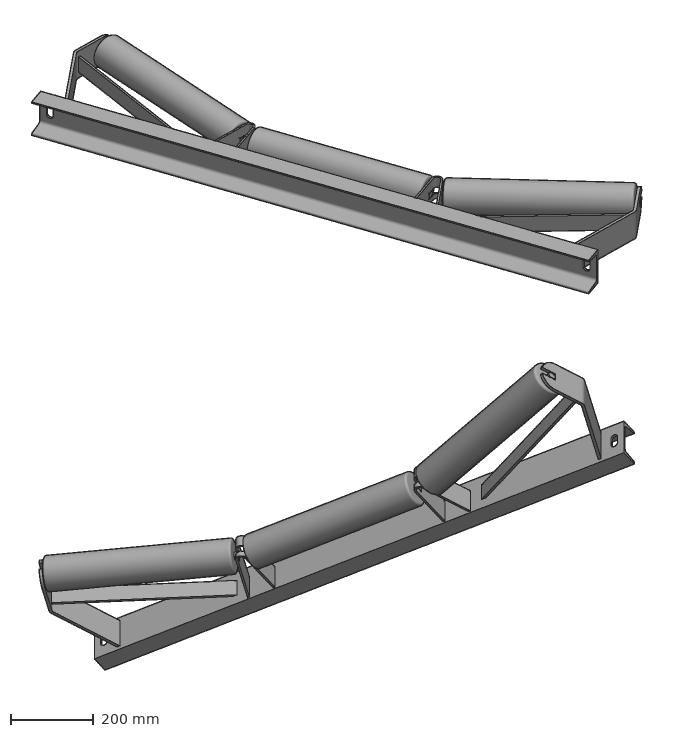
import cadquery as cq
import math

channel_length = 1500.0
channel_height = 100.0
channel_depth = 50.0
web_thickness = 6.0
flange_tip_thickness = 6.0
flange_root_thickness = 10.0
flange_root_fillet = 8.0
flange_tip_fillet = 5.0

slot_width = 18.0
slot_length = 36.0
slot_end_distance = 27.0

trough_angle = 20.0
trough = math.radians(trough_angle)

roller_radius = 44.6
roller_length = 465.0
roller_edge_fillet = 6.0
roller_end_gap = 5.3
shaft_radius = 9.8
shaft_flat_width = 15.0
shaft_notch_width = 18.0
middle_axis_y = 168.0
middle_axis_z = 29.0
wing_center_y = 255.0
wing_outer_z = channel_height / 2

inner_thickness = 5.0
inner_width = 64.0
inner_bottom_z = 5.0
inner_bend_radius = 12.0
inner_top_y = 195.0
leg_distance = roller_length / 2 + roller_end_gap + inner_thickness / 2
inner_bend_x = -leg_distance - inner_bend_radius
inner_bend_y = inner_top_y - inner_bend_radius - inner_thickness / 2

outer_thickness = 8.0
outer_width = 80.0
outer_half_span = 756.0
outer_bend_radius = 15.0
outer_bend_x = -outer_half_span + outer_bend_radius + outer_thickness / 2
outer_bend_y = 246.0
outer_end_distance = 32.0

brace_thickness = 6.0
brace_width = 45.0
brace_foot_x = -346.0
brace_head_y = 262.0

along_x, along_y = math.cos(trough), -math.sin(trough)
sloping_leg_offset = inner_bend_x * along_x + inner_bend_y * along_y - inner_bend_radius
wing_center_x = (sloping_leg_offset - leg_distance - wing_center_y * along_y) / along_x
wing_center_z = (wing_outer_z + middle_axis_z) / 2
shaft_length = 2 * leg_distance + inner_thickness
wing_drop = math.degrees(math.asin((wing_outer_z - middle_axis_z) / shaft_length))


def make_channel():
    half_height = channel_height / 2
    tip_z = half_height - flange_tip_thickness
    root_z = half_height - flange_root_thickness
    web_face_y = channel_depth - web_thickness
    outline = [
        (0, half_height), (channel_depth, half_height),
        (channel_depth, -half_height), (0, -half_height),
        (0, -tip_z), (web_face_y, -root_z), (web_face_y, root_z), (0, tip_z),
    ]
    channel = (
        cq.Workplane("YZ", origin=(0, 0, half_height))
        .polyline(outline).close()
        .extrude(channel_length / 2, both=True)
    )
    for z in (-root_z, root_z):
        corner = cq.selectors.NearestToPointSelector((0, web_face_y, half_height + z))
        channel = channel.edges("|X").edges(corner).fillet(flange_root_fillet)
    for z in (-tip_z, tip_z):
        corner = cq.selectors.NearestToPointSelector((0, 0, half_height + z))
        channel = channel.edges("|X").edges(corner).fillet(flange_tip_fillet)
    slot_x = channel_length / 2 - slot_end_distance
    slots = (
        cq.Workplane("XZ", origin=(0, channel_depth, half_height))
        .pushPoints([(-slot_x, 0), (slot_x, 0)])
        .slot2D(slot_length, slot_width, 90)
        .extrude(channel_depth)
    )
    return channel.cut(slots)


def make_roller():
    """Roller along X, centred on the origin, with its flatted shaft."""
    shell = (
        cq.Workplane(cq.Plane((-roller_length / 2, 0, 0), xDir=(0, 0, 1), normal=(1, 0, 0)))
        .circle(roller_radius)
        .extrude(roller_length)
        .edges().fillet(roller_edge_fillet)
    )
    shaft = cq.Workplane("YZ").circle(shaft_radius).extrude(shaft_length / 2, both=True)
    flats = cq.Workplane("XY").box(shaft_length, 2 * shaft_radius, shaft_flat_width)
    return shell.union(shaft.intersect(flats))


def place_wing(shape):
    """Move a shape built about the roller's own axis to the left wing position."""
    return (
        shape.rotate((0, 0, 0), (0, 1, 0), wing_drop)
        .rotate((0, 0, 0), (0, 0, 1), -trough_angle)
        .translate((wing_center_x, wing_center_y, wing_center_z))
    )


def notch_cutter(x, y, z, angle, length):
    """Open slot for a shaft: starts just under the shaft and runs up past the strip's end."""
    return (
        cq.Workplane("XY")
        .box(length, roller_radius + shaft_radius, shaft_notch_width)
        .translate((0, (roller_radius - shaft_radius) / 2, 0))
        .rotate((0, 0, 0), (0, 0, 1), angle)
        .translate((x, y, z))
    )


def sloping_point(bend_x, bend_y, radius, side):
    """Point where a bend of this radius runs into a sloping leg.

    The leg leans in at its top (side = 1) or at its foot (side = -1).
    """
    return bend_x - radius * along_x, bend_y - side * radius * along_y


def foot_point(start, side):
    """Foot of a sloping leg on the back of the channel, below the leg's start point."""
    run = start[1] - channel_depth
    return start[0] - side * run * math.tan(trough), channel_depth


def make_inner_bracket():
    convex_radius = inner_bend_radius + inner_thickness / 2
    concave_radius = inner_bend_radius - inner_thickness / 2
    convex_start = sloping_point(inner_bend_x, inner_bend_y, convex_radius, 1)
    concave_start = sloping_point(inner_bend_x, inner_bend_y, concave_radius, 1)
    strip = (
        cq.Workplane("XY", origin=(0, 0, inner_bottom_z))
        .moveTo(inner_bend_x + convex_radius, channel_depth)
        .lineTo(inner_bend_x + convex_radius, inner_bend_y)
        .threePointArc((inner_bend_x, inner_bend_y + convex_radius), convex_start)
        .lineTo(*foot_point(convex_start, 1))
        .lineTo(*foot_point(concave_start, 1))
        .lineTo(*concave_start)
        .threePointArc(
            (inner_bend_x, inner_bend_y + concave_radius),
            (inner_bend_x + concave_radius, inner_bend_y),
        )
        .lineTo(inner_bend_x + concave_radius, channel_depth)
        .close()
        .extrude(inner_width)
    )
    notch_length = 2 * inner_bend_radius
    upright_notch = notch_cutter(-leg_distance, middle_axis_y, middle_axis_z, 0, notch_length)
    wing_notch = notch_cutter(
        wing_center_x + leg_distance * along_x, wing_center_y + leg_distance * along_y,
        middle_axis_z, -trough_angle, notch_length,
    )
    return strip.cut(upright_notch).cut(wing_notch)


def make_outer_bracket():
    axis_x = wing_center_x - leg_distance * along_x
    axis_y = wing_center_y - leg_distance * along_y
    end_y = axis_y + outer_end_distance * along_x

    def end_point(start):
        """Top corner of the upper leg, straight along the leg from its start point."""
        travel = (end_y - start[1]) / along_x
        return start[0] - travel * along_y, start[1] + travel * along_x

    convex_radius = outer_bend_radius + outer_thickness / 2
    concave_radius = outer_bend_radius - outer_thickness / 2
    convex_upper = sloping_point(outer_bend_x, outer_bend_y, convex_radius, 1)
    convex_lower = sloping_point(outer_bend_x, outer_bend_y, convex_radius, -1)
    concave_upper = sloping_point(outer_bend_x, outer_bend_y, concave_radius, 1)
    concave_lower = sloping_point(outer_bend_x, outer_bend_y, concave_radius, -1)
    strip = (
        cq.Workplane("XY", origin=(0, 0, (channel_height - outer_width) / 2))
        .moveTo(*foot_point(convex_lower, -1))
        .lineTo(*convex_lower)
        .threePointArc((outer_bend_x - convex_radius, outer_bend_y), convex_upper)
        .lineTo(*end_point(convex_upper))
        .lineTo(*end_point(concave_upper))
        .lineTo(*concave_upper)
        .threePointArc((outer_bend_x - concave_radius, outer_bend_y), concave_lower)
        .lineTo(*foot_point(concave_lower, -1))
        .close()
        .extrude(outer_width)
    )
    trim_length = 60.0
    trim = (
        cq.Workplane("XY").box(trim_length, outer_width, 2 * outer_width)
        .translate((0, outer_width / 2, 0))
        .cut(cq.Workplane("YZ").circle(outer_width / 2).extrude(trim_length, both=True))
        .translate((0, outer_end_distance - outer_width / 2, 0))
        .rotate((0, 0, 0), (0, 0, 1), -trough_angle)
        .translate((axis_x, axis_y, channel_height / 2))
    )
    notch = notch_cutter(axis_x, axis_y, wing_outer_z, -trough_angle, trim_length)
    return strip.cut(trim).cut(notch)


def make_brace(bracket):
    head_x = -outer_half_span + outer_thickness / 2
    slope = math.atan2(brace_head_y - channel_depth, brace_foot_x - head_x)
    brace = (
        cq.Workplane("XY", origin=(0, 0, (channel_height - brace_width) / 2))
        .moveTo(head_x, brace_head_y)
        .lineTo(brace_foot_x, channel_depth)
        .lineTo(brace_foot_x - brace_thickness / math.sin(slope), channel_depth)
        .lineTo(head_x, brace_head_y - brace_thickness / math.cos(slope))
        .close()
        .extrude(brace_width)
    )
    return brace.cut(bracket).solids(">X")


channel = make_channel()
middle_roller = make_roller().translate((0, middle_axis_y, middle_axis_z))
wing_roller = place_wing(make_roller())
inner_bracket = make_inner_bracket()
outer_bracket = make_outer_bracket()
brace = make_brace(outer_bracket)

bodies = [channel.val(), middle_roller.val()]
for left_body in (wing_roller, inner_bracket, outer_bracket, brace):
    bodies.append(left_body.val())
    bodies.append(left_body.mirror("YZ").val())

result = cq.Compound.makeCompound(bodies)